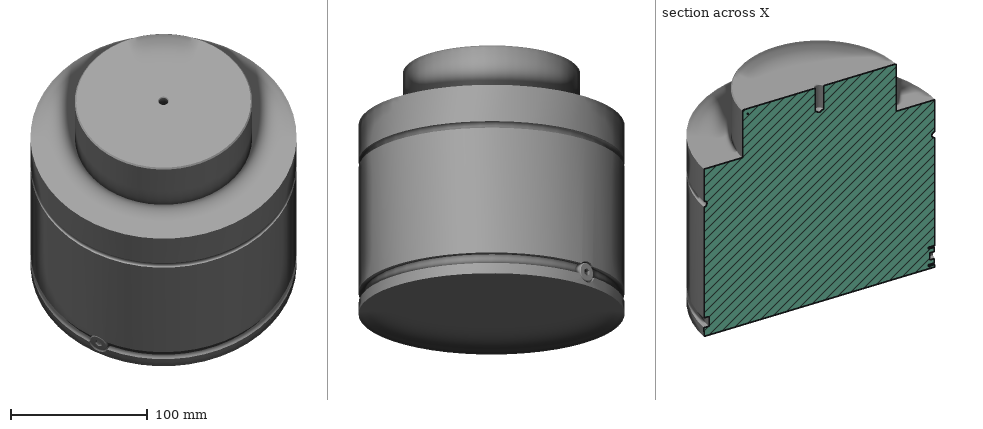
import cadquery as cq
import math

body_radius = 195 / 2
rod_radius = 130 / 2
flange_top = 145
total_height = 186
rod_chamfer = 1.0

base_groove_radius = 93.25
base_groove_bottom = 8.0
base_groove_top = 16.0

ring_groove_bottom = 112.0
ring_groove_top = 117.0

rod_hole_diameter = 6.8
rod_hole_mouth_diameter = 8.0
rod_hole_depth = 20.0
drill_tip_angle = 118.0

port_height = 10.6
port_diameter = 16.0
port_floor_radius = 92.0
plug_diameter = 14.0
plug_face_radius = 97.0
plug_chamfer = 0.5
socket_across_flats = 5.0
socket_depth = 4.0


def cylinder_body():
    """Revolved body with its rod, both grooves and the rod chamfer."""
    ring_groove_radius = (ring_groove_top - ring_groove_bottom) / 2
    ring_groove_middle = ring_groove_bottom + ring_groove_radius
    deepest_point = (body_radius - ring_groove_radius, ring_groove_middle)
    return (
        cq.Workplane("XZ")
        .lineTo(body_radius, 0)
        .lineTo(body_radius, base_groove_bottom)
        .lineTo(base_groove_radius, base_groove_bottom)
        .lineTo(base_groove_radius, base_groove_top)
        .lineTo(body_radius, base_groove_top)
        .lineTo(body_radius, ring_groove_bottom)
        .threePointArc(deepest_point, (body_radius, ring_groove_top))
        .lineTo(body_radius, flange_top)
        .lineTo(rod_radius, flange_top)
        .lineTo(rod_radius, total_height - rod_chamfer)
        .lineTo(rod_radius - rod_chamfer, total_height)
        .lineTo(0, total_height)
        .close()
        .revolve(360, (0, 0), (0, 1))
    )


def rod_hole():
    """Blind hole with a countersunk mouth and a drill-point bottom."""
    hole_radius = rod_hole_diameter / 2
    mouth_radius = rod_hole_mouth_diameter / 2
    mouth_depth = mouth_radius - hole_radius
    tip_depth = hole_radius / math.tan(math.radians(drill_tip_angle / 2))
    floor = total_height - rod_hole_depth
    return (
        cq.Workplane("XZ")
        .moveTo(0, total_height)
        .lineTo(mouth_radius, total_height)
        .lineTo(hole_radius, total_height - mouth_depth)
        .lineTo(hole_radius, floor)
        .lineTo(0, floor - tip_depth)
        .close()
        .revolve(360, (0, 0), (0, 1))
    )


def port_cylinder(diameter, inner_radius, outer_radius):
    """Cylinder on the port axis, between two distances from the body axis."""
    return (
        cq.Workplane("XZ", origin=(0, -inner_radius, port_height))
        .circle(diameter / 2)
        .extrude(outer_radius - inner_radius)
    )


def hex_socket():
    """Hexagonal key socket in the plug face, with a corner pointing up."""
    across_corners = socket_across_flats / math.cos(math.pi / 6)
    return (
        cq.Workplane("XZ", origin=(0, -(plug_face_radius - socket_depth), port_height))
        .transformed(rotate=(0, 0, 90))
        .polygon(6, across_corners)
        .extrude(socket_depth)
    )


def port_plug():
    """Plug standing in the port, with a chamfered outer face."""
    plug = port_cylinder(plug_diameter, port_floor_radius, plug_face_radius)
    return plug.faces("<Y").chamfer(plug_chamfer).cut(hex_socket())


port = port_cylinder(port_diameter, port_floor_radius, body_radius)

result = cylinder_body().cut(rod_hole()).cut(port).union(port_plug())